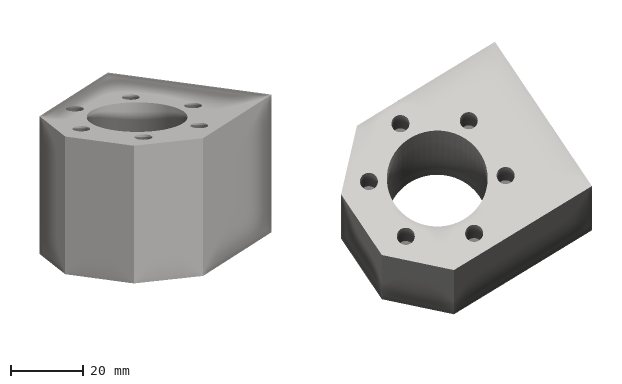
import cadquery as cq

width = 50.0
length = 60.0
height = 40.0
corner_cut = 14.5

bore_diameter = 28.0
bore_to_front = width / 2

hole_count = 6
hole_diameter = 5.0
hole_circle_radius = 19.0
hole_depth = 12.0


def make_block():
    """Rectangular block with both front vertical edges cut at 45 degrees."""
    block_center_y = length / 2 - bore_to_front
    return (
        cq.Workplane("XY")
        .center(0, block_center_y)
        .rect(width, length)
        .extrude(height)
        .edges("|Z and <Y")
        .chamfer(corner_cut)
    )


def make_bore():
    """Cylinder that opens the bore through the full height."""
    return cq.Workplane("XY").circle(bore_diameter / 2).extrude(height)


def make_mounting_holes():
    """Evenly spaced flat-bottomed holes sunk from the top face."""
    return (
        cq.Workplane("XY", origin=(0, 0, height))
        .polarArray(hole_circle_radius, 0, 360, hole_count)
        .circle(hole_diameter / 2)
        .extrude(-hole_depth)
    )


result = make_block().cut(make_bore()).cut(make_mounting_holes())